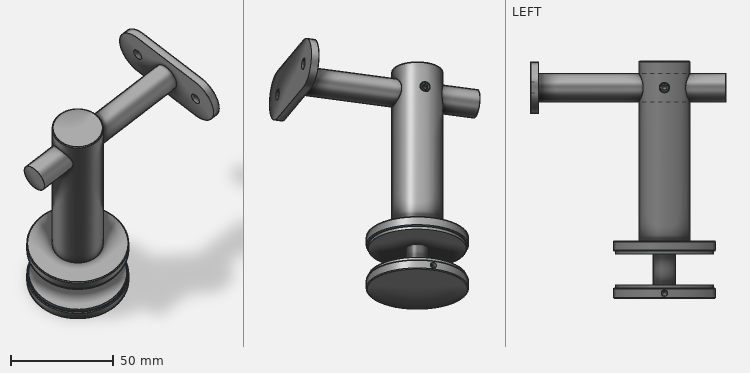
import cadquery as cq
import math

post_diameter = 25.0
post_length = 87.9
post_top_chamfer = 0.5

disc_diameter = 50.0
disc_thickness = 5.0
disc_chamfer = 0.5
gasket_diameter = 48.0
gasket_thickness = 1.5
spacer_diameter = 11.0
spacer_length = 15.1
spanner_hole_diameter = 3.0
spanner_hole_depth = 5.0
drill_point_angle = 118

bar_diameter = 14.0
bar_drop = 13.0
bar_front_reach = 30.0

plate_length = 65
plate_height = post_diameter
plate_thickness = 4.0
plate_back_reach = 65.4
plate_hole_diameter = 5.5
plate_hole_spacing = 39.9

screw_diameter = 5.0
screw_chamfer = 0.41
screw_socket_flats = 2.5
screw_socket_depth = 2.0
screw_socket_turn = 30
screw_recess = 0.3

lower_gasket_base = disc_thickness
spacer_base = lower_gasket_base + gasket_thickness
upper_gasket_base = spacer_base + spacer_length
upper_disc_base = upper_gasket_base + gasket_thickness
post_base = upper_disc_base + disc_thickness
post_top = post_base + post_length
bar_level = post_top - bar_drop

plate_front = plate_back_reach - plate_thickness
post_radius = post_diameter / 2
bar_radius = bar_diameter / 2
screw_outer_end = -post_radius + screw_recess


def cylinder_up(diameter, length, base):
    """Cylinder on the Z axis that starts at the level `base`."""
    return cq.Workplane("XY").workplane(offset=base).circle(diameter / 2).extrude(length)


def cylinder_inward(diameter, length, start_x, level):
    """Cylinder along +X that starts at `start_x`, at the height `level`."""
    return cq.Workplane("YZ", origin=(start_x, 0, level)).circle(diameter / 2).extrude(length)


def drill_point(diameter, start_x, level):
    """Cone along +X that ends a drilled hole, with its base at `start_x`."""
    radius = diameter / 2
    height = radius / math.tan(math.radians(drill_point_angle / 2))
    cone = cq.Solid.makeCone(radius, 0, height, cq.Vector(start_x, 0, level), cq.Vector(1, 0, 0))
    return cq.Workplane(obj=cone)


def make_bar():
    """Round bar along Y, from its free end to the front face of the plate."""
    length = bar_front_reach + plate_front
    start = (0, plate_front, bar_level)
    return cq.Workplane("XZ", origin=start).circle(bar_radius).extrude(length)


def make_plate():
    """Wall plate with round ends and two screw holes."""
    face = cq.Workplane("XZ", origin=(0, plate_back_reach, bar_level))
    plate = face.slot2D(plate_length, plate_height).extrude(plate_thickness)
    holes = (
        face.rarray(plate_hole_spacing, 1.2, 2, 1)
        .circle(plate_hole_diameter / 2)
        .extrude(plate_thickness)
    )
    return plate.cut(holes)


def make_post(bar):
    """Chamfered post with a cross hole for the bar and a side hole for the set screw."""
    post = cylinder_up(post_diameter, post_length, post_base)
    post = post.faces(">Z").chamfer(post_top_chamfer)
    screw_hole = cylinder_inward(screw_diameter, post_radius, -post_radius, bar_level)
    return post.cut(bar).cut(screw_hole)


def make_set_screw(bar):
    """Headless screw with a hexagon socket, its inner end resting on the bar."""
    screw = cylinder_inward(screw_diameter, -screw_outer_end, screw_outer_end, bar_level)
    screw = screw.faces("<X").chamfer(screw_chamfer)
    socket = (
        cq.Workplane("YZ", origin=(screw_outer_end, 0, bar_level))
        .transformed(rotate=(0, 0, screw_socket_turn))
        .polygon(6, screw_socket_flats / math.cos(math.pi / 6))
        .extrude(screw_socket_depth)
    )
    socket_end = drill_point(screw_socket_flats, screw_outer_end + screw_socket_depth, bar_level)
    return screw.cut(socket).cut(socket_end).cut(bar)


def make_disc(base):
    """Clamping disc with both rims chamfered."""
    return cylinder_up(disc_diameter, disc_thickness, base).edges().chamfer(disc_chamfer)


def make_spanner_hole():
    """Blind drilled hole in the rim of the lower disc, with a conical end."""
    rim_x = -disc_diameter / 2
    level = disc_thickness / 2
    hole = cylinder_inward(spanner_hole_diameter, spanner_hole_depth, rim_x, level)
    return hole.union(drill_point(spanner_hole_diameter, rim_x + spanner_hole_depth, level))


bar = make_bar()
plate = make_plate()
post = make_post(bar)
set_screw = make_set_screw(bar)
upper_disc = make_disc(upper_disc_base)
lower_disc = make_disc(0).cut(make_spanner_hole())
gaskets = [
    cylinder_up(gasket_diameter, gasket_thickness, base)
    for base in (lower_gasket_base, upper_gasket_base)
]
spacer = cylinder_up(spacer_diameter, spacer_length, spacer_base)

result = cq.Compound.makeCompound(
    [
        bar.val(),
        plate.val(),
        post.val(),
        set_screw.val(),
        upper_disc.val(),
        lower_disc.val(),
        *[gasket.val() for gasket in gaskets],
        spacer.val(),
    ]
)